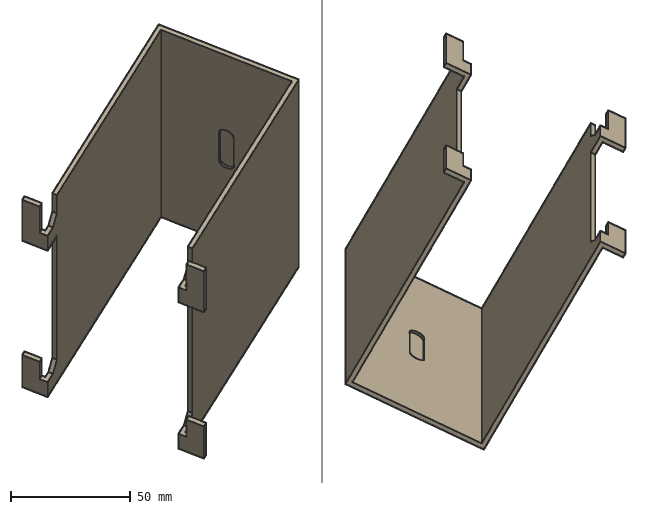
import cadquery as cq

height = 128.0
overall_width = 85.0
overall_depth = 108.7
sheet = 2.2

channel_width = 65.5
hook_reach = 8.7
wall_front = hook_reach
inner_width = channel_width - 2 * sheet

finger_width = 8.2
arm_height = 10.2
upper_finger_height = 28.0
lower_finger_height = 22.0
gusset_depth = 3.7
gusset_height = 5.4

slot_width = 7.0
slot_length = 25.5
slot_depth = sheet / 2


def box(x_min, x_max, y_min, y_max, z_min, z_max):
    """Box given by its limits along each axis."""
    size = (x_max - x_min, y_max - y_min, z_max - z_min)
    return cq.Workplane("XY").box(*size, centered=False).translate((x_min, y_min, z_min))


def channel():
    """U-shaped channel of constant wall thickness."""
    outer = box(-channel_width / 2, channel_width / 2, wall_front, overall_depth, 0, height)
    inner = box(-inner_width / 2, inner_width / 2, wall_front, overall_depth - sheet, 0, height)
    return outer.cut(inner)


def hook(base_z, finger_height):
    """Hook on the +X side wall, with its underside at base_z."""
    arm_top = base_z + arm_height
    arm = (
        cq.Workplane("YZ", origin=(inner_width / 2, 0, 0))
        .moveTo(0, base_z)
        .lineTo(wall_front, base_z)
        .lineTo(wall_front, arm_top + gusset_height)
        .lineTo(wall_front - gusset_depth, arm_top)
        .lineTo(0, arm_top)
        .close()
        .extrude(sheet)
    )
    tip_x = overall_width / 2
    flange = box(inner_width / 2, tip_x, 0, sheet, base_z, arm_top)
    finger = box(tip_x - finger_width, tip_x, 0, sheet, base_z, base_z + finger_height)
    return arm.union(flange).union(finger)


def back_slot():
    """Cutter for the upright slot in the back wall."""
    return (
        cq.Workplane("XZ", origin=(0, overall_depth - sheet, height / 2))
        .slot2D(slot_length, slot_width, 90)
        .extrude(-slot_depth)
    )


result = channel()
for base_z, finger_height in (
    (0, lower_finger_height),
    (height - upper_finger_height, upper_finger_height),
):
    right_hook = hook(base_z, finger_height)
    result = result.union(right_hook).union(right_hook.mirror("YZ"))
result = result.cut(back_slot())
result = result.translate((0, -overall_depth / 2, -height / 2))